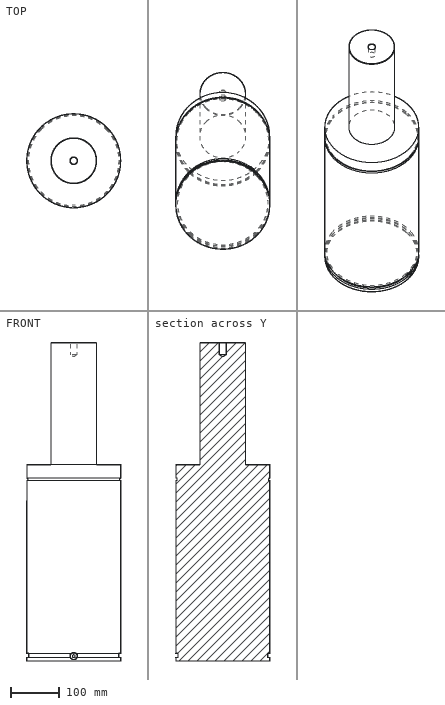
import cadquery as cq
import math

total_height = 660.0
body_diameter = 195.0
rod_diameter = 95.0
rod_exposed_length = 253.0
body_height = total_height - rod_exposed_length

foot_height = 8.0
foot_groove_width = 8.0
foot_groove_depth = 4.0

cap_height = 28.0
cap_groove_radius = 2.5

rod_chamfer = 1.0

rod_hole_diameter = 14.0
rod_countersink_diameter = 16.0
rod_hole_depth = 25.0
drill_point_angle = 118.0

plug_diameter = 16.0
plug_chamfer = 1.0
plug_center_height = 10.5
plug_projection = 0.5
plug_length = 10.0
socket_across_flats = 5.0
socket_depth = 6.0


def foot_groove():
    """Ring that cuts the square groove into the body's outer wall."""
    outer = cq.Workplane("XY").workplane(offset=foot_height).circle(body_diameter / 2)
    return outer.circle(body_diameter / 2 - foot_groove_depth).extrude(foot_groove_width)


def cap_groove():
    """Torus centred on the body's outer wall, with its top level with the underside of the cap."""
    center_height = body_height - cap_height - cap_groove_radius
    section = cq.Workplane("XZ").moveTo(body_diameter / 2, center_height).circle(cap_groove_radius)
    return section.revolve(360, (0, 0, 0), (0, 1, 0))


def make_body():
    """Cylinder with a square groove above the foot and a half-round one below the cap."""
    body = cq.Workplane("XY").circle(body_diameter / 2).extrude(body_height)
    return body.cut(foot_groove()).cut(cap_groove())


def make_rod():
    """Piston rod standing on the body, chamfered at its free end."""
    rod = cq.Workplane("XY").workplane(offset=body_height).circle(rod_diameter / 2)
    return rod.extrude(rod_exposed_length).faces(">Z").chamfer(rod_chamfer)


def make_rod_hole():
    """Countersunk blind hole with a drill point, as one turned profile."""
    hole_radius = rod_hole_diameter / 2
    countersink_radius = rod_countersink_diameter / 2
    countersink_depth = countersink_radius - hole_radius
    point_depth = hole_radius / math.tan(math.radians(drill_point_angle / 2))
    straight_bottom = total_height - rod_hole_depth
    profile = (
        cq.Workplane("XZ")
        .moveTo(0, total_height)
        .lineTo(countersink_radius, total_height)
        .lineTo(hole_radius, total_height - countersink_depth)
        .lineTo(hole_radius, straight_bottom)
        .lineTo(0, straight_bottom - point_depth)
        .close()
    )
    return profile.revolve(360, (0, 0, 0), (0, 1, 0))


def plug_face():
    """Workplane on the plug's outer face, centred on the plug axis."""
    face_y = -body_diameter / 2 - plug_projection
    return cq.Workplane("XZ", origin=(0, face_y, plug_center_height))


def make_plug():
    """Round plug crossing the foot groove, chamfered at its outer face."""
    plug = plug_face().circle(plug_diameter / 2).extrude(-plug_length)
    return plug.faces("<Y").chamfer(plug_chamfer)


def make_plug_socket():
    """Hexagon socket with two corners on the vertical line through the plug axis."""
    across_corners = socket_across_flats / math.cos(math.radians(30))
    first_corner_angle = 90
    face = plug_face().transformed(rotate=(0, 0, first_corner_angle))
    return face.polygon(6, across_corners).extrude(-socket_depth)


cylinder = make_body().union(make_rod()).cut(make_rod_hole())
result = cylinder.union(make_plug()).cut(make_plug_socket())